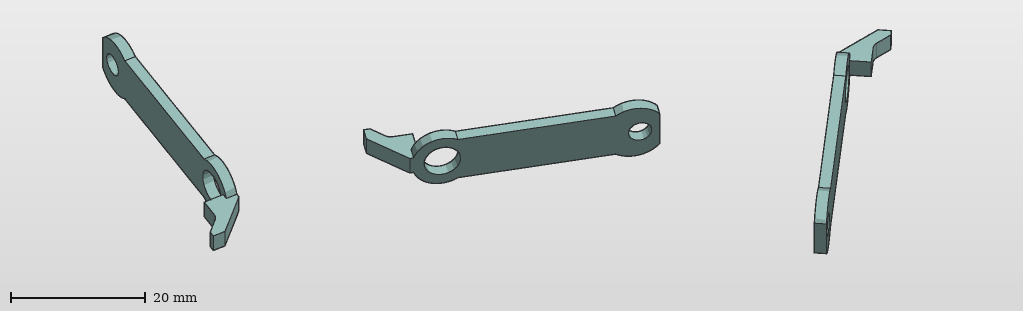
import cadquery as cq

total_length = 43.3
total_depth = 7.4
plate_thickness = 1.8
arm_width = 7.92

pivot_boss_diameter = 9.8
pivot_boss_x = 3.8
pivot_hole_diameter = 3.5
pivot_hole_x = 3.0

hook_boss_diameter = 9.2
hook_hole_diameter = 5.5
hook_hole_x = 32.95

hook_width = 3.05
hook_start_x = 36.35
hook_block_depth = 5.05
back_slope_run = 5.4
tip_flat = 0.95
inner_fillet = 1.47


def cylinder(x, diameter):
    """Cylinder through the plate thickness, centred across the width."""
    return (
        cq.Workplane("XZ")
        .center(x, 0)
        .circle(diameter / 2)
        .extrude(plate_thickness)
    )


def make_plate():
    arm_length = hook_hole_x - pivot_boss_x
    arm = (
        cq.Workplane("XZ")
        .center(pivot_boss_x + arm_length / 2, 0)
        .rect(arm_length, arm_width)
        .extrude(plate_thickness)
    )
    plate = (
        arm.union(cylinder(pivot_boss_x, pivot_boss_diameter))
        .union(cylinder(hook_hole_x, hook_boss_diameter))
    )
    keep = cq.Workplane("XY").box(
        total_length, 2 * total_depth, total_length, centered=(False, True, True)
    )
    return plate.intersect(keep)


def make_hook():
    tip_x = total_length - tip_flat
    inner_corner_x = tip_x - (total_depth - hook_block_depth)
    hook = (
        cq.Workplane("XY")
        .moveTo(hook_start_x, 0)
        .lineTo(total_length - back_slope_run, 0)
        .lineTo(total_length, -back_slope_run)
        .lineTo(total_length, -total_depth)
        .lineTo(tip_x, -total_depth)
        .lineTo(inner_corner_x, -hook_block_depth)
        .lineTo(hook_start_x, -hook_block_depth)
        .close()
        .extrude(hook_width / 2, both=True)
    )
    inner_edge = cq.selectors.NearestToPointSelector((inner_corner_x, -hook_block_depth, 0))
    return hook.edges("|Z").edges(inner_edge).fillet(inner_fillet)


result = (
    make_plate()
    .union(make_hook())
    .cut(cylinder(pivot_hole_x, pivot_hole_diameter))
    .cut(cylinder(hook_hole_x, hook_hole_diameter))
)